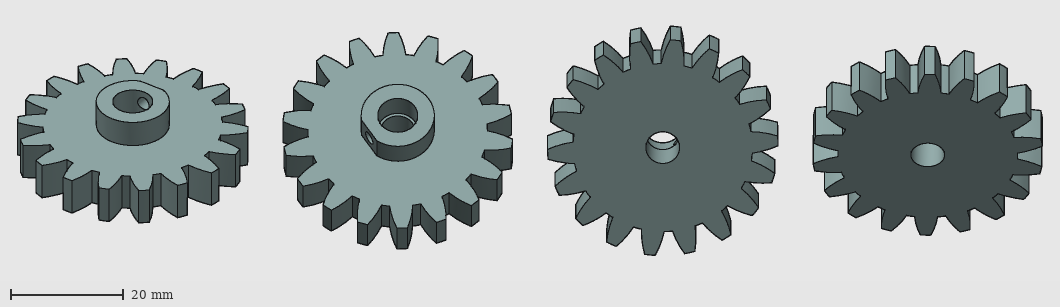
import cadquery as cq
import math

tooth_count = 18
tip_radius = 20.5
root_radius = 15.95
wheel_thickness = 7.0

tip_half_width = 0.95
flank_radius = 18.2
flank_half_width = 1.68
root_half_width = 2.05

total_height = 12.0
hub_diameter = 13.0
hub_flat_distance = 6.0

hub_bore_diameter = 7.1
wheel_bore_diameter = 6.0

screw_diameter = 2.45
screw_height = (wheel_thickness + total_height) / 2

hub_height = total_height - wheel_thickness
tooth_pitch = 2 * math.pi / tooth_count


def polar(radius, angle):
    """Point at an angle measured from +Y towards +X."""
    return (radius * math.sin(angle), radius * math.cos(angle))


def half_angle(half_width, radius):
    """Angle spanned by half a tooth at the given radius."""
    return math.asin(half_width / radius)


def make_wheel():
    tip_angle = half_angle(tip_half_width, tip_radius)
    flank_angle = half_angle(flank_half_width, flank_radius)
    root_angle = half_angle(root_half_width, root_radius)

    outline = cq.Workplane("XY").moveTo(*polar(root_radius, -root_angle))
    for tooth in range(tooth_count):
        center = tooth * tooth_pitch
        outline = (
            outline
            .threePointArc(polar(flank_radius, center - flank_angle), polar(tip_radius, center - tip_angle))
            .threePointArc(polar(tip_radius, center), polar(tip_radius, center + tip_angle))
            .threePointArc(polar(flank_radius, center + flank_angle), polar(root_radius, center + root_angle))
            .threePointArc(
                polar(root_radius, center + tooth_pitch / 2),
                polar(root_radius, center + tooth_pitch - root_angle),
            )
        )
    return outline.close().extrude(wheel_thickness)


def make_hub():
    hub = cq.Workplane("XY", origin=(0, 0, wheel_thickness)).circle(hub_diameter / 2).extrude(hub_height)
    keep_below_flat = (
        cq.Workplane("XY", origin=(0, hub_flat_distance, wheel_thickness))
        .rect(hub_diameter, 2 * hub_diameter)
        .extrude(hub_height)
        .translate((0, -hub_diameter, 0))
    )
    return hub.intersect(keep_below_flat)


def make_bore():
    narrow = cq.Workplane("XY").circle(wheel_bore_diameter / 2).extrude(total_height)
    wide = cq.Workplane("XY", origin=(0, 0, wheel_thickness)).circle(hub_bore_diameter / 2).extrude(hub_height)
    return narrow.union(wide)


def make_screw_hole():
    return (
        cq.Workplane("XZ", origin=(0, 0, screw_height))
        .circle(screw_diameter / 2)
        .extrude(-hub_diameter / 2)
    )


result = make_wheel().union(make_hub()).cut(make_bore()).cut(make_screw_hole())